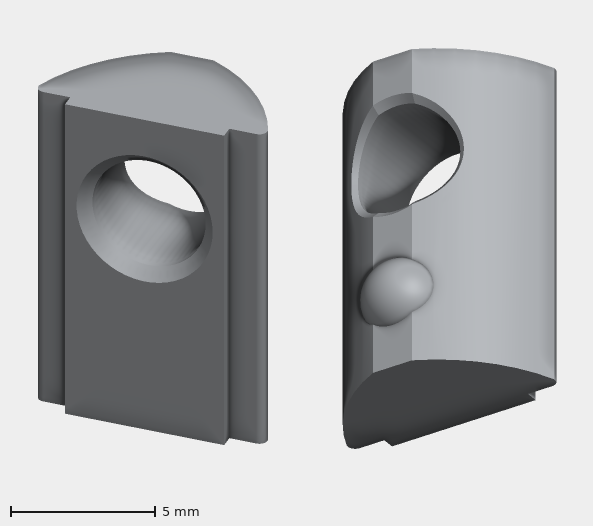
import cadquery as cq

length = 12.5
width = 8.5
tongue_width = 5.9
tongue_height = 0.5
side_top_y = 0.88
corner_radius = 0.3
flank_radius = 6.74
crown_y = 4.6
crown_width = 1.6

hole_diameter = 4.2
hole_z = 8.5
front_chamfer = 0.42
back_chamfer = 0.28

total_depth = 5.4
ball_radius = 1.5
ball_y = total_depth - ball_radius
ball_z = 3.0


def make_ball():
    return cq.Workplane("XY").sphere(ball_radius).translate((0, ball_y, ball_z))


def make_profile():
    """Long bar with a tongue, two bulging flanks and a flat crown."""
    half_width = width / 2
    half_tongue = tongue_width / 2
    half_crown = crown_width / 2
    bar = (
        cq.Workplane("XY")
        .moveTo(-half_tongue, 0)
        .lineTo(half_tongue, 0)
        .lineTo(half_tongue, tongue_height)
        .lineTo(half_width, tongue_height)
        .lineTo(half_width, side_top_y)
        .radiusArc((half_crown, crown_y), -flank_radius)
        .lineTo(-half_crown, crown_y)
        .radiusArc((-half_width, side_top_y), -flank_radius)
        .lineTo(-half_width, tongue_height)
        .lineTo(-half_tongue, tongue_height)
        .close()
        .extrude(length)
    )
    corner_points = [(side * half_width, tongue_height, length / 2) for side in (-1, 1)]
    for point in corner_points:
        bar = bar.edges(cq.selectors.NearestToPointSelector(point)).fillet(corner_radius)
    return bar


def cut_hole(bar):
    """Through hole along Y, chamfered at both ends."""
    hole = (
        cq.Workplane("XZ")
        .center(0, hole_z)
        .circle(hole_diameter / 2)
        .extrude(-total_depth)
    )
    drilled = bar.cut(hole)
    bore = drilled.faces(cq.selectors.NearestToPointSelector((0, crown_y / 2, hole_z)))
    front_rim = bore.edges("<Y")
    drilled = front_rim.chamfer(front_chamfer)

    bore = drilled.faces(cq.selectors.NearestToPointSelector((0, crown_y / 2, hole_z)))
    back_rim = bore.edges(cq.selectors.BoxSelector(
        (-width, crown_y / 2, 0), (width, total_depth, length)))
    return back_rim.chamfer(back_chamfer)


ball = make_ball()
nut = cut_hole(make_profile()).cut(ball)

result = cq.Compound.makeCompound([nut.val(), ball.val()])